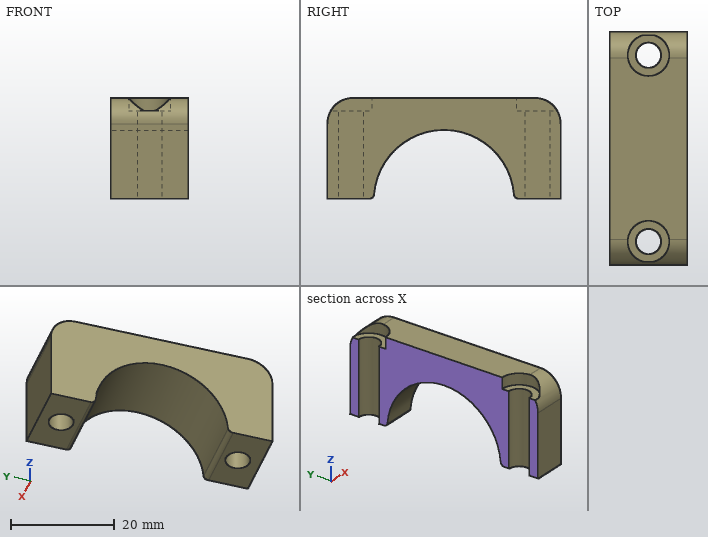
import cadquery as cq

width = 15.0
length = 45.0
height = 19.5
corner_radius = 5.0

saddle_radius = 13.5
saddle_crown_height = 13.28
saddle_edge_radius = 1.0

hole_spacing = 35.9
hole_diameter = 4.8
counterbore_diameter = 8.0
counterbore_depth = 2.5


def make_block():
    """Block standing on Z = 0 with its two upper end edges rounded."""
    block = cq.Workplane("XY").box(width, length, height, centered=(True, True, False))
    return block.edges("|X and >Z").fillet(corner_radius)


def cut_saddle(body):
    """Cut the round channel through the base and round its lower edges."""
    channel = (
        cq.Workplane("YZ")
        .center(0, saddle_crown_height - saddle_radius)
        .circle(saddle_radius)
        .extrude(width / 2, both=True)
    )
    mouth_edges = cq.selectors.BoxSelector(
        (-width, -saddle_radius - 0.45, -0.45), (width, saddle_radius + 0.45, 0.45)
    )
    return body.cut(channel).edges("|X").edges(mouth_edges).fillet(saddle_edge_radius)


def drill_screw_holes(body):
    """Drill a counterbored through hole in each end."""
    hole_centers = [(0, side * hole_spacing / 2) for side in (-1, 1)]
    return (
        body.faces(">Z")
        .workplane(origin=(0, 0, height))
        .pushPoints(hole_centers)
        .cboreHole(hole_diameter, counterbore_diameter, counterbore_depth)
    )


result = drill_screw_holes(cut_saddle(make_block()))